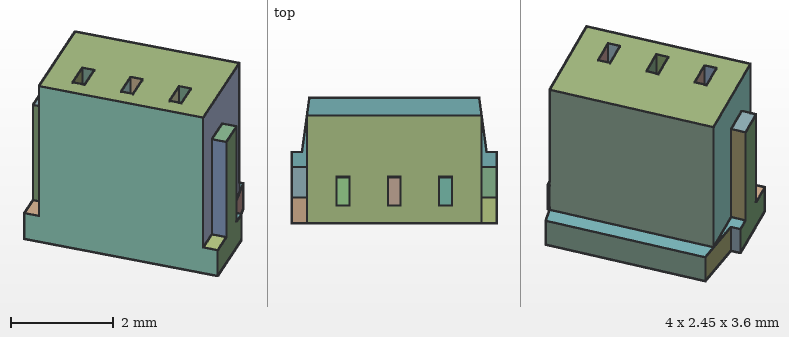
import cadquery as cq

base_width = 4.0
base_depth = 2.45
base_height = 0.6
wide_depth = 1.39
tongue_root_width = 3.6
tongue_tip_width = 3.31

body_width = 3.4
body_depth = 2.1
total_height = 3.6

rib_front = 0.5
rib_depth = 0.6
rib_top = 2.8

slot_count = 3
slot_pitch = 1.0
slot_width = 0.25
slot_front = 0.35
slot_length = 0.56
slot_depth = 3.0
slot_back_lean = 0.015


def block(width, depth, height, front=0.0):
    """Box centred on X, with its bottom at Z = 0 and its front face at the given Y."""
    box = cq.Workplane("XY").box(width, depth, height, centered=(True, False, False))
    return box.translate((0, front, 0))


def make_base():
    """Plate with full-width front and a tongue tapering toward the back."""
    right_side = [
        (base_width / 2, 0),
        (base_width / 2, wide_depth),
        (tongue_root_width / 2, wide_depth),
        (tongue_tip_width / 2, base_depth),
    ]
    left_side = [(-x, y) for x, y in reversed(right_side)]
    return cq.Workplane("XY").polyline(right_side + left_side).close().extrude(base_height)


def make_slots():
    """Row of contact slots whose back walls lean slightly forward."""
    slot_back = slot_front + slot_length
    slot_floor = total_height - slot_depth
    side_profile = [
        (slot_front, slot_floor),
        (slot_back - slot_back_lean, slot_floor),
        (slot_back, total_height),
        (slot_front, total_height),
    ]
    slot = cq.Workplane("YZ").polyline(side_profile).close().extrude(slot_width / 2, both=True)
    slots = cq.Workplane("XY")
    for index in range(slot_count):
        offset = (index - (slot_count - 1) / 2) * slot_pitch
        slots = slots.add(slot.translate((offset, 0, 0)))
    return slots.combine()


body = block(body_width, body_depth, total_height)
ribs = block(base_width, rib_depth, rib_top, rib_front)

result = make_base().union(body).union(ribs).cut(make_slots())